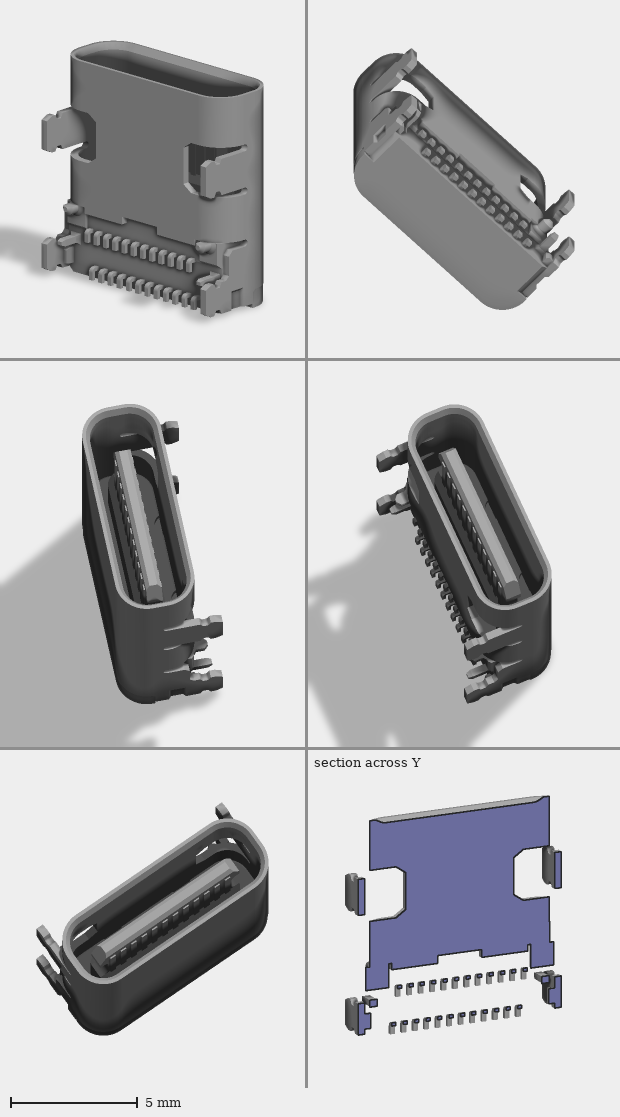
import cadquery as cq


HEIGHT = 8.97
WIDTH = 8.94
DEPTH = 3.16
WALL = 0.305
CORNER_RADIUS = 1.26
MOUTH_BEVEL_WIDTH = 0.16
MOUTH_BEVEL_HEIGHT = 0.27
HALF_WIDTH = WIDTH / 2
HALF_DEPTH = DEPTH / 2
INNER_HALF_WIDTH = HALF_WIDTH - WALL
SHELL_FRONT_BOTTOM = 2.69
SHELL_CORNER_BOTTOM = 2.95
SHELL_BACK_BOTTOM = 0.77
SHELL_SIDE_BOTTOM = 0.19
SIDE_SKIRT_Y = 0.22
SKIRT_CHAMFER = 0.11
CORNER_CUT_X = 3.0
FRONT_NOTCH_HALF_WIDTH = 0.96
FRONT_NOTCH_TOP = 3.01

OVERALL_DEPTH = 4.07
TAB_TIP_Y = HALF_DEPTH - OVERALL_DEPTH
TAB_TOP = 6.62
TAB_BOTTOM = 5.11
SLOT_HEIGHT = 0.29
SLOT_BACK_Y = -0.11
SLOT_RADIUS = SLOT_HEIGHT / 2
SLOT_END_Y = SLOT_BACK_Y - SLOT_RADIUS
LEG_TOP = SHELL_CORNER_BOTTOM - SLOT_HEIGHT
LEG_SHOULDER_TOP = 1.5
LEG_NECK_Y = -1.17
LEG_TOP_CHAMFER = 0.21
LEG_NECK_CHAMFER = 0.16
TAB_NOTCH_Y = -1.59
TAB_NOTCH_WIDTH = 0.42
TAB_NOTCH_SLOPE = 0.11
TAB_NOTCH_DEPTH = 0.2
TAB_NOTCH_RADIUS = 0.08
TAB_TIP_CHAMFER_Y = 0.29
TAB_TIP_CHAMFER_Z = 0.14

OPENING_TOP = TAB_TOP + SLOT_HEIGHT
OPENING_BOTTOM = TAB_BOTTOM - SLOT_HEIGHT
OPENING_INNER_X = 2.38
OPENING_CHAMFER_X = 0.42
OPENING_CHAMFER_Z = 0.29

FLOOR_Z = 3.23
FLOOR_BEVEL = 0.06
HOUSING_FRONT_Y = -1.23
HOUSING_STEP_Z = 1.92
HOUSING_RIDGE_Y = WALL - HALF_DEPTH
BASE_INSET = 0.03
BOTTOM_CHAMFER = 0.23
FLOOR_NOTCH_RADIUS = 0.47
FLOOR_NOTCH_REACH = 0.27
FLOOR_NOTCH_X = 1.66
FLOOR_NOTCH_DEPTH = 0.27

STANDOFF_INNER_X = 3.1
STANDOFF_FRONT_Y = -1.42
STANDOFF_BEVEL = 0.135
STANDOFF_SIDE_CHAMFER = 0.11
BOSS_X = 3.6
BOSS_Z = 2.835
BOSS_RADIUS = 0.26
BOSS_FLARE_RADIUS = 0.4
BOSS_FLARE_LENGTH = 0.13
BOSS_TIP_Y = -2.045
BOSS_TIP_CHAMFER = 0.15
PEG_X = 3.78
PEG_Z = 1.43
PEG_BASE_SIZE = (0.54, 0.47)
PEG_SHANK_SIZE = (0.305, 0.27)
PEG_TIP_SIZE = (0.215, 0.14)
PEG_SHANK_START_Y = -1.36
PEG_SHANK_END_Y = -2.01
PEG_TIP_Y = -2.19
STOP_INNER_X = 3.89
STOP_BOTTOM = 0.395
STOP_TOP = 1.04
STOP_FRONT_Y = -1.56
STOP_CHAMFER = 0.11

WINDOW_BACK_Y = -0.32
WINDOW_FRONT_Y = -1.01
WINDOW_TOP = 0.99
WINDOW_BEVEL = 0.11
WINDOW_DEPTH = 0.12

TONGUE_HALF_WIDTH = 3.355
TONGUE_TOP = 7.89
TONGUE_HALF_THICKNESS = 0.31
TONGUE_TIP_HALF_THICKNESS = 0.16
TONGUE_TIP_BEVEL_HEIGHT = 0.18
TONGUE_END_BEVEL_WIDTH = 0.36
TONGUE_END_BEVEL_HEIGHT = 0.81
ROOT_HALF_THICKNESS = 0.6
ROOT_CORNER_RADIUS = 0.36
ROOT_TOP = 5.11
ROOT_SHOULDER = 4.81
LATCH_NOTCH_DEPTH = 0.38
LATCH_NOTCH_TOP = 6.73
LATCH_NOTCH_RADIUS = 0.25
LATCH_NOTCH_BOTTOM = 5.11

CONTACT_COUNT = 12
CONTACT_PITCH = 0.5
CONTACT_WIDTH = 0.25
CONTACT_TOP = 7.355
CONTACT_HALF_THICKNESS = 0.37
LEAD_WIDTH = 0.2
LEAD_THICKNESS = 0.15
LEAD_FRONT_Y = -1.6
LEAD_SHIFT = 0.13
LEAD_HEIGHT = 0.51
LEAD_BEND_RADIUS = 0.19
UPPER_LEAD_TOP = 2.03
LOWER_LEAD_TOP = 0.52


def box(x0, x1, y0, y1, z0, z1):
    """Box between opposite corner coordinates."""
    return cq.Workplane("XY").box(x1 - x0, y1 - y0, z1 - z0, centered=False).translate((x0, y0, z0))


def both_sides(solid):
    """A feature together with its mirror image across the YZ plane."""
    return solid.union(solid.mirror("YZ"))


def rounded_outline(inset):
    """Sketch of the shell's outline moved inward by an inset."""
    outline = cq.Sketch().rect(WIDTH - 2 * inset, DEPTH - 2 * inset)
    return outline.vertices().fillet(CORNER_RADIUS - inset).reset()


def rounded_prism(inset, z0, z1):
    """Prism with the shell's outline moved inward by an inset."""
    return cq.Workplane("XY", origin=(0, 0, z0)).placeSketch(rounded_outline(inset)).extrude(z1 - z0)


def tab_end(bottom, top):
    """Outline of a tab's necked end, from its top edge round the tip to its bottom edge."""
    notch_end_y = TAB_NOTCH_Y - TAB_NOTCH_WIDTH
    upper = [
        (TAB_NOTCH_Y, top),
        (TAB_NOTCH_Y - TAB_NOTCH_SLOPE, top - TAB_NOTCH_DEPTH),
        (notch_end_y + TAB_NOTCH_SLOPE, top - TAB_NOTCH_DEPTH),
        (notch_end_y, top),
        (TAB_TIP_Y + TAB_TIP_CHAMFER_Y, top),
        (TAB_TIP_Y, top - TAB_TIP_CHAMFER_Z),
    ]
    lower = [(y, bottom + top - z) for y, z in reversed(upper)]
    return upper + lower


def tab_plate(outline):
    """Tab in the -X side wall, cut to a (y, z) outline and rounded at the bottom of its notches."""
    plate = cq.Workplane("YZ", origin=(-HALF_WIDTH, 0, 0)).polyline(outline).close().extrude(WALL)
    notch_bottoms = cq.selectors.BoxSelector(
        (-HALF_WIDTH, TAB_NOTCH_Y - TAB_NOTCH_WIDTH + TAB_NOTCH_SLOPE / 2, 0),
        (0, TAB_NOTCH_Y - TAB_NOTCH_SLOPE / 2, HEIGHT),
    )
    return plate.edges("|X").edges(notch_bottoms).fillet(TAB_NOTCH_RADIUS)


def make_shell():
    """Drawn tube with a bevelled mouth, open front corners and a stepped lower edge."""
    tube = rounded_prism(0, SHELL_SIDE_BOTTOM, HEIGHT).cut(rounded_prism(WALL, 0, HEIGHT))
    mouth_edge = WALL - MOUTH_BEVEL_WIDTH
    mouth_bevel = (
        cq.Workplane("XY", origin=(0, 0, HEIGHT - MOUTH_BEVEL_HEIGHT))
        .placeSketch(
            rounded_outline(WALL),
            rounded_outline(mouth_edge).moved(cq.Location(cq.Vector(0, 0, MOUTH_BEVEL_HEIGHT))),
        )
        .loft()
    )
    tube = tube.cut(mouth_bevel)

    opening_outline = [
        (-HALF_WIDTH, OPENING_BOTTOM),
        (-OPENING_INNER_X - OPENING_CHAMFER_X, OPENING_BOTTOM),
        (-OPENING_INNER_X, OPENING_BOTTOM + OPENING_CHAMFER_Z),
        (-OPENING_INNER_X, OPENING_TOP - OPENING_CHAMFER_Z),
        (-OPENING_INNER_X - OPENING_CHAMFER_X, OPENING_TOP),
        (-HALF_WIDTH, OPENING_TOP),
    ]
    opening = (
        cq.Workplane("XZ", origin=(0, SLOT_END_Y, 0)).polyline(opening_outline).close().extrude(HALF_DEPTH)
    )
    tube = tube.cut(both_sides(opening))

    slot_centers = [
        (SLOT_END_Y, TAB_TOP + SLOT_RADIUS),
        (SLOT_END_Y, TAB_BOTTOM - SLOT_RADIUS),
        (SLOT_END_Y, LEG_TOP + SLOT_RADIUS),
    ]
    slot_ends = (
        cq.Workplane("YZ").pushPoints(slot_centers).circle(SLOT_RADIUS).extrude(HALF_WIDTH, both=True)
    )
    tube = tube.cut(slot_ends)

    front = -HALF_DEPTH
    corner_cut = box(-HALF_WIDTH, -CORNER_CUT_X, front, SLOT_END_Y, 0, SHELL_CORNER_BOTTOM)
    tube = tube.cut(both_sides(corner_cut))
    tube = tube.cut(box(-CORNER_CUT_X, CORNER_CUT_X, front, 0, 0, SHELL_FRONT_BOTTOM))
    tube = tube.cut(box(-FRONT_NOTCH_HALF_WIDTH, FRONT_NOTCH_HALF_WIDTH, front, 0, 0, FRONT_NOTCH_TOP))
    back_cut_outline = [
        (HALF_DEPTH, 0),
        (HALF_DEPTH, SHELL_BACK_BOTTOM),
        (SIDE_SKIRT_Y + SKIRT_CHAMFER, SHELL_BACK_BOTTOM),
        (SIDE_SKIRT_Y, SHELL_BACK_BOTTOM - SKIRT_CHAMFER),
        (SIDE_SKIRT_Y, SHELL_SIDE_BOTTOM + SKIRT_CHAMFER),
        (SIDE_SKIRT_Y - SKIRT_CHAMFER, 0),
    ]
    back_cut = cq.Workplane("YZ").polyline(back_cut_outline).close().extrude(HALF_WIDTH, both=True)
    return tube.cut(back_cut)


def make_tabs():
    """Flat board tabs that carry on from both side walls."""
    upper_tab = tab_plate([(SLOT_END_Y, TAB_BOTTOM), (SLOT_END_Y, TAB_TOP)] + tab_end(TAB_BOTTOM, TAB_TOP))
    leg_outline = [
        (SLOT_END_Y, SHELL_SIDE_BOTTOM),
        (SLOT_END_Y, LEG_TOP),
        (LEG_NECK_Y + LEG_TOP_CHAMFER, LEG_TOP),
        (LEG_NECK_Y, LEG_TOP - LEG_TOP_CHAMFER),
        (LEG_NECK_Y, LEG_SHOULDER_TOP + LEG_NECK_CHAMFER),
        (LEG_NECK_Y - LEG_NECK_CHAMFER, LEG_SHOULDER_TOP),
    ]
    leg = tab_plate(leg_outline + tab_end(SHELL_SIDE_BOTTOM, LEG_SHOULDER_TOP))

    window_width = WINDOW_BACK_Y - WINDOW_FRONT_Y
    window_height = WINDOW_TOP - SHELL_SIDE_BOTTOM
    window_middle_y = (WINDOW_BACK_Y + WINDOW_FRONT_Y) / 2
    window = (
        cq.Workplane("YZ", origin=(-HALF_WIDTH, window_middle_y, SHELL_SIDE_BOTTOM))
        .rect(window_width, 2 * window_height)
        .workplane(offset=WINDOW_DEPTH)
        .rect(window_width - 2 * WINDOW_BEVEL, 2 * (window_height - WINDOW_BEVEL))
        .loft()
    )
    return both_sides(upper_tab.union(leg.cut(window)))


def make_housing():
    """Plastic body that fills the shell up to the cavity floor."""
    core = rounded_prism(WALL, 0, FLOOR_Z).faces(">Z").edges().chamfer(FLOOR_BEVEL)
    notch_y = HALF_DEPTH - WALL + FLOOR_NOTCH_RADIUS - FLOOR_NOTCH_REACH
    notch_centers = [(x, y) for x in (-FLOOR_NOTCH_X, FLOOR_NOTCH_X) for y in (-notch_y, notch_y)]
    floor_notches = (
        cq.Workplane("XY", origin=(0, 0, FLOOR_Z - FLOOR_NOTCH_DEPTH))
        .pushPoints(notch_centers)
        .circle(FLOOR_NOTCH_RADIUS)
        .extrude(FLOOR_NOTCH_DEPTH)
    )
    core = core.cut(floor_notches)
    core = core.cut(box(-HALF_WIDTH, HALF_WIDTH, -HALF_DEPTH, HOUSING_FRONT_Y, 0, HOUSING_STEP_Z))

    base = rounded_prism(BASE_INSET, 0, SHELL_BACK_BOTTOM)
    base = base.cut(box(-HALF_WIDTH, HALF_WIDTH, -HALF_DEPTH, SIDE_SKIRT_Y, 0, SHELL_BACK_BOTTOM))
    front_block = box(
        -INNER_HALF_WIDTH, INNER_HALF_WIDTH, HOUSING_FRONT_Y, SIDE_SKIRT_Y, 0, SHELL_CORNER_BOTTOM
    )
    ridge = box(-STANDOFF_INNER_X, STANDOFF_INNER_X, HOUSING_RIDGE_Y, 0, HOUSING_STEP_Z, SHELL_FRONT_BOTTOM)
    ridge_key = box(
        -FRONT_NOTCH_HALF_WIDTH, FRONT_NOTCH_HALF_WIDTH, HOUSING_RIDGE_Y, 0, HOUSING_STEP_Z, FRONT_NOTCH_TOP
    )
    housing = core.union(front_block).union(ridge).union(ridge_key)
    outer_x = -INNER_HALF_WIDTH
    bottom_trim_outline = [(outer_x, 0), (outer_x + BOTTOM_CHAMFER, 0), (outer_x, BOTTOM_CHAMFER)]
    bottom_trim = (
        cq.Workplane("XZ", origin=(0, SIDE_SKIRT_Y, 0))
        .polyline(bottom_trim_outline)
        .close()
        .extrude(HALF_DEPTH)
    )
    return housing.cut(both_sides(bottom_trim)).union(base)


def make_board_features():
    """Standoffs with round bosses, square locating pegs and stops at both ends."""
    standoff = box(
        -INNER_HALF_WIDTH, -STANDOFF_INNER_X, STANDOFF_FRONT_Y, HOUSING_FRONT_Y,
        HOUSING_STEP_Z, SHELL_CORNER_BOTTOM,
    )
    standoff = standoff.edges("<X and <Y").chamfer(STANDOFF_SIDE_CHAMFER)
    standoff = standoff.faces("<Z").edges("<Y").chamfer(STANDOFF_BEVEL)
    boss = (
        cq.Workplane("XZ", origin=(-BOSS_X, HOUSING_FRONT_Y, BOSS_Z))
        .circle(BOSS_RADIUS)
        .extrude(HOUSING_FRONT_Y - BOSS_TIP_Y)
        .faces("<Y")
        .chamfer(BOSS_TIP_CHAMFER)
    )
    boss_flare = (
        cq.Workplane("XZ", origin=(-BOSS_X, STANDOFF_FRONT_Y, BOSS_Z))
        .circle(BOSS_FLARE_RADIUS)
        .workplane(offset=BOSS_FLARE_LENGTH)
        .circle(BOSS_RADIUS)
        .loft()
    )
    above_boss = box(-HALF_WIDTH, 0, TAB_TIP_Y, 0, SHELL_CORNER_BOTTOM, HEIGHT)
    peg = (
        cq.Workplane("XZ", origin=(-PEG_X, HOUSING_FRONT_Y, PEG_Z))
        .rect(*PEG_BASE_SIZE)
        .workplane(offset=HOUSING_FRONT_Y - PEG_SHANK_START_Y)
        .rect(*PEG_SHANK_SIZE)
        .workplane(offset=PEG_SHANK_START_Y - PEG_SHANK_END_Y)
        .rect(*PEG_SHANK_SIZE)
        .workplane(offset=PEG_SHANK_END_Y - PEG_TIP_Y)
        .rect(*PEG_TIP_SIZE)
        .loft(ruled=True)
    )
    stop = box(-INNER_HALF_WIDTH, -STOP_INNER_X, STOP_FRONT_Y, HOUSING_FRONT_Y, STOP_BOTTOM, STOP_TOP)
    stop = stop.faces("<Y").edges(">X or >Z").chamfer(STOP_CHAMFER)
    features = standoff.union(boss.union(boss_flare).cut(above_boss)).union(peg).union(stop)
    return both_sides(features)


def make_tongue():
    """Tongue with a thick root, a bevelled tip and a latch notch in each end."""
    half_profile = [
        (ROOT_HALF_THICKNESS, FLOOR_Z - FLOOR_BEVEL),
        (ROOT_HALF_THICKNESS, ROOT_SHOULDER),
        (TONGUE_HALF_THICKNESS, ROOT_TOP),
        (TONGUE_HALF_THICKNESS, TONGUE_TOP - TONGUE_TIP_BEVEL_HEIGHT),
        (TONGUE_TIP_HALF_THICKNESS, TONGUE_TOP),
    ]
    profile = half_profile + [(-y, z) for y, z in reversed(half_profile)]
    blade = cq.Workplane("YZ").polyline(profile).close().extrude(TONGUE_HALF_WIDTH, both=True)
    end_bevel_outline = [
        (-TONGUE_HALF_WIDTH, TONGUE_TOP),
        (-TONGUE_HALF_WIDTH, TONGUE_TOP - TONGUE_END_BEVEL_HEIGHT),
        (TONGUE_END_BEVEL_WIDTH - TONGUE_HALF_WIDTH, TONGUE_TOP),
    ]
    end_bevel = (
        cq.Workplane("XZ").polyline(end_bevel_outline).close().extrude(ROOT_HALF_THICKNESS, both=True)
    )
    blade = blade.cut(both_sides(end_bevel))
    plan = (
        cq.Workplane("XY")
        .rect(2 * TONGUE_HALF_WIDTH, 2 * ROOT_HALF_THICKNESS)
        .extrude(HEIGHT)
        .edges("|Z")
        .fillet(ROOT_CORNER_RADIUS)
    )
    latch_notch = box(
        -TONGUE_HALF_WIDTH, LATCH_NOTCH_DEPTH - TONGUE_HALF_WIDTH,
        -ROOT_HALF_THICKNESS, ROOT_HALF_THICKNESS,
        LATCH_NOTCH_BOTTOM, LATCH_NOTCH_TOP,
    )
    latch_notch = latch_notch.edges(">X and |Y").fillet(LATCH_NOTCH_RADIUS)
    return blade.intersect(plan).cut(both_sides(latch_notch))


def contact_positions(shift):
    """X positions of one row of contacts, moved sideways by a shift."""
    first = -CONTACT_PITCH * (CONTACT_COUNT - 1) / 2
    return [first + i * CONTACT_PITCH + shift for i in range(CONTACT_COUNT)]


def make_contacts():
    """Contact strips lying on both faces of the tongue."""
    half_width = CONTACT_WIDTH / 2
    half_thickness = CONTACT_HALF_THICKNESS
    strips = cq.Workplane("XY")
    for x in contact_positions(0):
        strip = box(
            x - half_width, x + half_width, -half_thickness, half_thickness, ROOT_SHOULDER, CONTACT_TOP
        )
        strips = strips.union(strip)
    return strips


def make_lead_row(top, shift):
    """Row of bent leads that leave the housing and turn down along the board."""
    bottom = top - LEAD_HEIGHT
    back_y = LEAD_FRONT_Y + LEAD_THICKNESS
    row = cq.Workplane("XY")
    for x in contact_positions(shift):
        lead = (
            cq.Workplane("YZ", origin=(x, 0, 0))
            .moveTo(HOUSING_FRONT_Y + LEAD_THICKNESS, top)
            .lineTo(LEAD_FRONT_Y + LEAD_BEND_RADIUS, top)
            .radiusArc((LEAD_FRONT_Y, top - LEAD_BEND_RADIUS), -LEAD_BEND_RADIUS)
            .lineTo(LEAD_FRONT_Y, bottom)
            .lineTo(back_y, bottom)
            .lineTo(back_y, top - LEAD_THICKNESS)
            .lineTo(HOUSING_FRONT_Y + LEAD_THICKNESS, top - LEAD_THICKNESS)
            .close()
            .extrude(LEAD_WIDTH / 2, both=True)
        )
        row = row.union(lead)
    return row


result = (
    make_shell()
    .union(make_tabs())
    .union(make_housing())
    .union(make_board_features())
    .union(make_tongue())
    .union(make_contacts())
    .union(make_lead_row(UPPER_LEAD_TOP, -LEAD_SHIFT))
    .union(make_lead_row(LOWER_LEAD_TOP, LEAD_SHIFT))
)